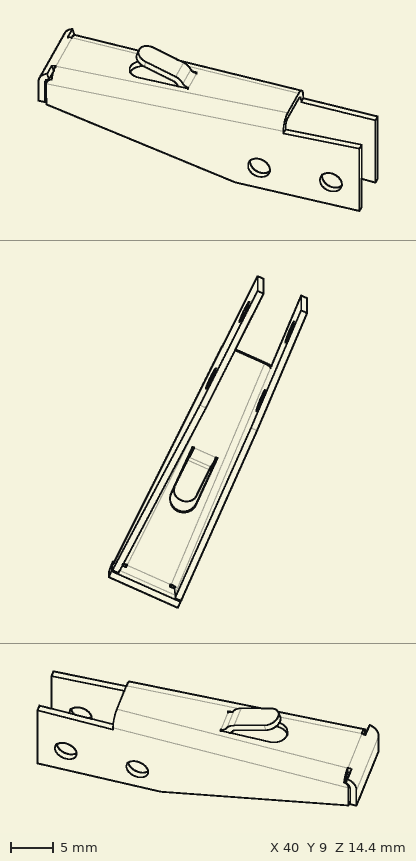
import cadquery as cq
import math

length = 40.0
sheet = 0.8
inner_radius = 0.8
outer_radius = inner_radius + sheet

wall_front_x = 1.0
front_half_width = 4.5
rear_half_width = 3.25
wall_front_bottom_z = -4.8
knee_x = 24.5
knee_z = -10.9
rear_bottom_z = -11.5
top_rear_x = 30.5
rear_wall_top_z = -1.95
hole_xs = (27.5, 36.45)
hole_z = -7.95
hole_diameter = 2.7

lip_width = 9.0
lip_bottom_z = -4.5
bridge_width = 5.7
lip_relief_angle = 18.0

slot_front_x = 10.0
slot_rear_x = 17.8
slot_width = 3.25
tab_width = 2.85
tab_ramp_angle = 63.0
tab_arm_angle = 18.5
tab_top_z = 2.9
tip_radius = 1.4


def polar(center, radius, angle_from_vertical):
    """Point in XZ at an angle measured from +Z toward +X."""
    angle = math.radians(angle_from_vertical)
    return (center[0] + radius * math.sin(angle), center[1] + radius * math.cos(angle))


def channel_section(x, half_width, inset):
    """Closed outline of the inverted U, offset inward by inset, running past the wall bottoms."""
    side = half_width - inset
    radius = outer_radius - inset
    bottom = rear_bottom_z - sheet
    return (
        cq.Workplane("YZ", origin=(x, 0, 0))
        .moveTo(-side, bottom)
        .lineTo(-side, -outer_radius)
        .radiusArc((-side + radius, -inset), radius)
        .lineTo(side - radius, -inset)
        .radiusArc((side, -outer_radius), radius)
        .lineTo(side, bottom)
        .close()
    )


def tapered_body(inset):
    front = channel_section(wall_front_x, front_half_width, inset).val()
    rear = channel_section(length, rear_half_width, inset).val()
    return cq.Workplane(cq.Solid.makeLoft([front, rear], True))


def make_channel():
    corner_radius = outer_radius - wall_front_x
    side_outline = (
        cq.Workplane("XZ")
        .moveTo(wall_front_x, wall_front_bottom_z)
        .lineTo(wall_front_x, -outer_radius)
        .radiusArc((outer_radius, -outer_radius + corner_radius), corner_radius)
        .lineTo(outer_radius, 0)
        .lineTo(top_rear_x, 0)
        .lineTo(top_rear_x, rear_wall_top_z)
        .lineTo(length, rear_wall_top_z)
        .lineTo(length, rear_bottom_z)
        .lineTo(knee_x, knee_z)
        .close()
        .extrude(lip_width, both=True)
    )
    holes = (
        cq.Workplane("XZ")
        .pushPoints([(x, hole_z) for x in hole_xs])
        .circle(hole_diameter / 2)
        .extrude(lip_width, both=True)
    )
    return tapered_body(0).cut(tapered_body(sheet)).intersect(side_outline).cut(holes)


def lip_strip(width, end_angle):
    """Lip and its bend, the bend ending on a radial cut end_angle short of the top."""
    center = (outer_radius, -outer_radius)
    return (
        cq.Workplane("XZ")
        .moveTo(0, lip_bottom_z)
        .lineTo(0, -outer_radius)
        .radiusArc(polar(center, outer_radius, -end_angle), outer_radius)
        .lineTo(*polar(center, inner_radius, -end_angle))
        .radiusArc((sheet, -outer_radius), -inner_radius)
        .lineTo(sheet, lip_bottom_z)
        .close()
        .extrude(width / 2, both=True)
    )


def make_slot():
    radius = slot_width / 2
    return (
        cq.Workplane("XY", origin=(0, 0, -sheet))
        .moveTo(slot_rear_x, -radius)
        .lineTo(slot_front_x + radius, -radius)
        .radiusArc((slot_front_x + radius, radius), radius)
        .lineTo(slot_rear_x, radius)
        .close()
        .extrude(sheet)
    )


def make_tab():
    """Strip that bends up into a steep ramp, then back to a shallow arm with a round tip."""
    root = (slot_rear_x, inner_radius)
    ramp_direction = 180 + tab_ramp_angle
    crest = polar(root, inner_radius + outer_radius, ramp_direction)
    arm_top = polar(crest, outer_radius, tab_arm_angle)
    arm_bottom = polar(crest, inner_radius, tab_arm_angle)
    arm_length = (tab_top_z - arm_top[1]) / math.sin(math.radians(tab_arm_angle))
    arm_direction = tab_arm_angle - 90
    tip_top = polar(arm_top, arm_length, arm_direction)
    tip_bottom = polar(arm_bottom, arm_length, arm_direction)
    strip = (
        cq.Workplane("XZ")
        .moveTo(slot_rear_x, 0)
        .radiusArc(polar(root, inner_radius, ramp_direction), inner_radius)
        .radiusArc(arm_top, -outer_radius)
        .lineTo(*tip_top)
        .lineTo(*tip_bottom)
        .lineTo(*arm_bottom)
        .radiusArc(polar(root, outer_radius, ramp_direction), inner_radius)
        .radiusArc((slot_rear_x, -sheet), -outer_radius)
        .close()
        .extrude(tab_width / 2, both=True)
    )
    tip_x = (tip_top[0] + tip_bottom[0]) / 2
    tip_z = (tip_top[1] + tip_bottom[1]) / 2
    for tip_y in (-tab_width / 2, tab_width / 2):
        tip_corner = cq.selectors.NearestToPointSelector((tip_x, tip_y, tip_z))
        strip = strip.edges(tip_corner).fillet(tip_radius)
    return strip


lip = lip_strip(lip_width, lip_relief_angle).union(lip_strip(bridge_width, 0))
result = make_channel().union(lip).cut(make_slot()).union(make_tab())